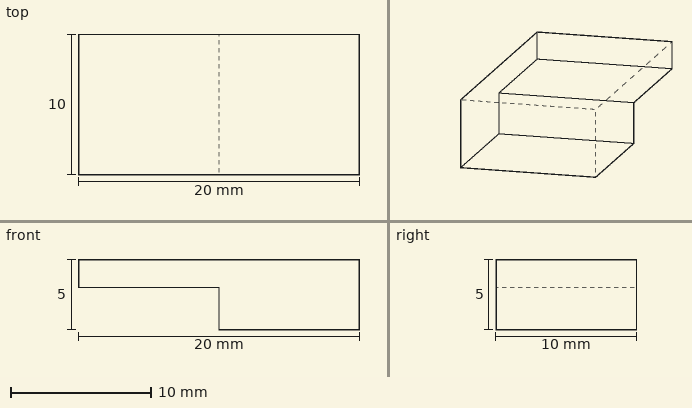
import cadquery as cq

length = 20.0
width = 10.0
height = 5.0

plate_thickness = 2.0
block_length = length / 2
block_height = height - plate_thickness

block = cq.Workplane("XY").box(block_length, width, block_height, centered=(False, True, False))
block = block.translate((length / 2 - block_length, 0, 0))

plate = cq.Workplane("XY").box(length, width, plate_thickness, centered=(True, True, False))
plate = plate.translate((0, 0, block_height))

result = plate.union(block).clean()